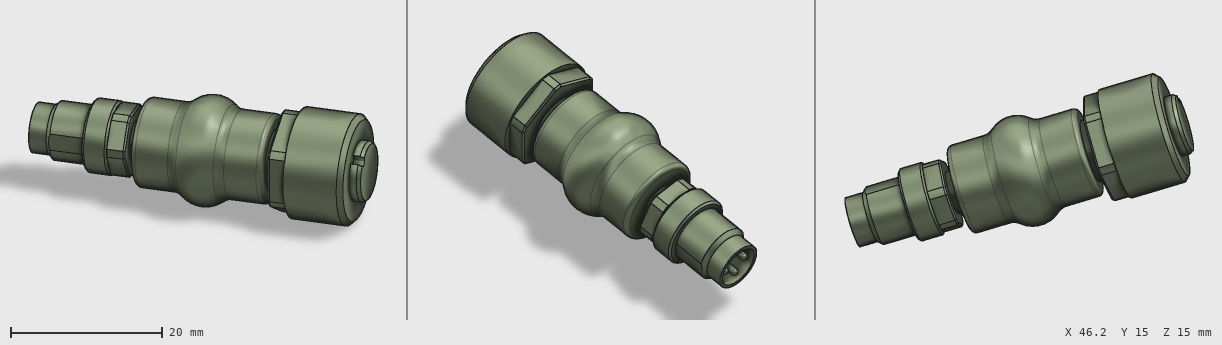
import cadquery as cq
import math


tip_diameter = 6.8
tip_bore_diameter = 5.8
tip_bore_depth = 5.0
tip_end = 2.45
plug_diameter = 8.0
plug_cone_length = 0.65
plug_across_flats = 7.65
plug_end = 7.85

pin_diameter = 1.0
pin_circle_radius = 1.75
pin_recess = 0.3
pin_angles = (0, 180, 270)

collar_diameter = 10.0
collar_chamfer = 0.3
collar_end = 11.3
small_hex_across_flats = 9.0
small_hex_corner_diameter = 9.8
small_hex_chamfer = 0.25
small_hex_end = 13.8

small_neck_diameter = 5.8
grip_start = 14.95
grip_end = 33.05
grip_diameter = 12.1
grip_fillet = 0.65
bulge_diameter = 15.0
bulge_crown_radius = 4.0
bulge_blend_radius = 2.0

large_neck_diameter = 8.5
large_hex_start = 34.15
large_hex_across_flats = 13.0
large_hex_corner_diameter = 14.4
large_hex_chamfer = 0.25
sleeve_start = 36.6
sleeve_end = 44.7
sleeve_diameter = 15.0
sleeve_chamfer = 0.7

insert_diameter = 8.2
insert_end = 46.2
insert_chamfer_length = 0.5
insert_chamfer_depth = 0.3
keyway_diameter = 1.2
keyway_center_radius = 3.72
keyway_angle = 135


def cylinder(start, end, diameter):
    """Cylinder on the X axis between two stations."""
    return cq.Workplane("YZ", origin=(start, 0, 0)).circle(diameter / 2).extrude(end - start)


def hexagon(start, end, across_flats, corner_diameter, corner_angle):
    """Hexagonal prism along X, corners turned to a diameter, one corner at the given angle from +Y."""
    prism = (
        cq.Workplane("YZ", origin=(start, 0, 0))
        .polygon(6, across_flats / math.cos(math.pi / 6))
        .extrude(end - start)
        .rotate((0, 0, 0), (1, 0, 0), corner_angle)
    )
    return prism.intersect(cylinder(start, end, corner_diameter))


def make_plug():
    tip = cylinder(0, plug_end, tip_diameter)
    barrel = (
        cylinder(tip_end, plug_end, plug_diameter)
        .faces("<X")
        .chamfer(plug_cone_length, (plug_diameter - tip_diameter) / 2)
    )
    flats = cq.Workplane("XY").box(2 * plug_end, plug_across_flats, plug_diameter)
    return tip.union(barrel.intersect(flats)).cut(cylinder(0, tip_bore_depth, tip_bore_diameter))


def make_pin(angle):
    y = pin_circle_radius * math.cos(math.radians(angle))
    z = pin_circle_radius * math.sin(math.radians(angle))
    tip_center = pin_recess + pin_diameter / 2
    shank = cylinder(tip_center, tip_bore_depth, pin_diameter)
    round_tip = cq.Workplane("XY").sphere(pin_diameter / 2).translate((tip_center, 0, 0))
    return shank.union(round_tip).translate((0, y, z))


def make_small_nut():
    collar = cylinder(plug_end, collar_end, collar_diameter).edges().chamfer(collar_chamfer)
    hex_part = hexagon(collar_end, small_hex_end, small_hex_across_flats, small_hex_corner_diameter, 0)
    hex_part = hex_part.faces(">X").chamfer(small_hex_chamfer)
    return collar.union(hex_part)


def make_grip():
    return cylinder(grip_start, grip_end, grip_diameter).edges().fillet(grip_fillet)


def make_bulge():
    """Ring with a convex crown that runs tangentially into the grip through concave blends."""
    middle = (grip_start + grip_end) / 2
    grip_radius = grip_diameter / 2
    crown_center = bulge_diameter / 2 - bulge_crown_radius
    blend_center = grip_radius + bulge_blend_radius
    center_distance = bulge_crown_radius + bulge_blend_radius
    half_length = math.sqrt(center_distance**2 - (blend_center - crown_center) ** 2)
    slope = math.atan2(blend_center - crown_center, half_length)
    tangent_x = bulge_crown_radius * math.cos(slope)
    tangent_r = crown_center + bulge_crown_radius * math.sin(slope)
    blend_mid_angle = (slope + math.pi / 2) / 2
    blend_mid_x = half_length - bulge_blend_radius * math.cos(blend_mid_angle)
    blend_mid_r = blend_center - bulge_blend_radius * math.sin(blend_mid_angle)
    return (
        cq.Workplane("XZ")
        .moveTo(middle - half_length, 0)
        .lineTo(middle - half_length, grip_radius)
        .threePointArc((middle - blend_mid_x, blend_mid_r), (middle - tangent_x, tangent_r))
        .threePointArc((middle, bulge_diameter / 2), (middle + tangent_x, tangent_r))
        .threePointArc((middle + blend_mid_x, blend_mid_r), (middle + half_length, grip_radius))
        .lineTo(middle + half_length, 0)
        .close()
        .revolve(360, (0, 0, 0), (1, 0, 0))
    )


def make_large_nut():
    hex_part = hexagon(large_hex_start, sleeve_start, large_hex_across_flats, large_hex_corner_diameter, 90)
    hex_part = hex_part.faces("<X").chamfer(large_hex_chamfer)
    sleeve = cylinder(sleeve_start, sleeve_end, sleeve_diameter).faces(">X").chamfer(sleeve_chamfer)
    return sleeve.union(hex_part)


def make_insert():
    insert = (
        cylinder(sleeve_end, insert_end, insert_diameter)
        .faces(">X")
        .chamfer(insert_chamfer_length, insert_chamfer_depth)
    )
    insert_length = insert_end - sleeve_end
    round_bottom = cylinder(sleeve_end, insert_end, keyway_diameter).translate((0, keyway_center_radius, 0))
    side_walls = (
        cq.Workplane("XY", origin=(sleeve_end, keyway_center_radius, 0))
        .box(insert_length, keyway_diameter, keyway_diameter, centered=(False, False, True))
    )
    keyway = round_bottom.union(side_walls).rotate((0, 0, 0), (1, 0, 0), keyway_angle)
    return insert.cut(keyway)


result = make_plug()
for angle in pin_angles:
    result = result.union(make_pin(angle))
result = (
    result.union(make_small_nut())
    .union(cylinder(small_hex_end, grip_start, small_neck_diameter))
    .union(make_grip())
    .union(make_bulge())
    .union(cylinder(grip_end, large_hex_start, large_neck_diameter))
    .union(make_large_nut())
    .union(make_insert())
)